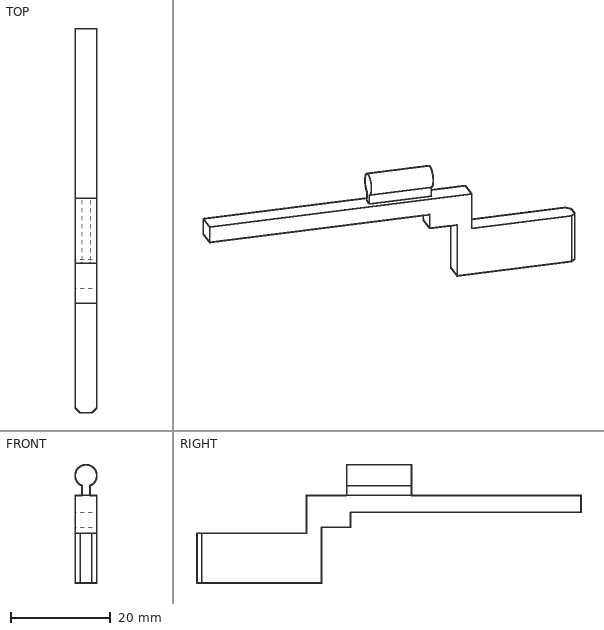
import cadquery as cq

length = 77.0
width = 4.4
height = 23.7

grip_length = 25.0
grip_height = 10.0
tip_chamfer = 1.0

step_start = 21.95
step_end = 30.8
step_bottom = 11.2

arm_bottom = 14.2
arm_top = 17.55

rail_start = 30.0
rail_length = 13.0
rail_radius = width / 2
rail_center = height - rail_radius
neck_width = 1.6


def make_body():
    """Stepped side profile extruded across the width."""
    profile = [
        (0, 0),
        (grip_length, 0),
        (grip_length, step_bottom),
        (step_end, step_bottom),
        (step_end, arm_bottom),
        (length, arm_bottom),
        (length, arm_top),
        (step_start, arm_top),
        (step_start, grip_height),
        (0, grip_height),
    ]
    body = cq.Workplane("YZ").polyline(profile).close().extrude(width / 2, both=True)
    return body.faces("<Y").edges("|Z").chamfer(tip_chamfer)


def make_rail():
    """Cylinder along Y with the neck reaching down to the arm."""
    end_plane = cq.Workplane("XZ", origin=(0, rail_start, 0))
    cylinder = end_plane.center(0, rail_center).circle(rail_radius).extrude(-rail_length)
    neck_height = rail_center - arm_top
    neck = (
        end_plane.center(0, arm_top + neck_height / 2)
        .rect(neck_width, neck_height)
        .extrude(-rail_length)
    )
    return cylinder.union(neck)


result = make_body().union(make_rail())